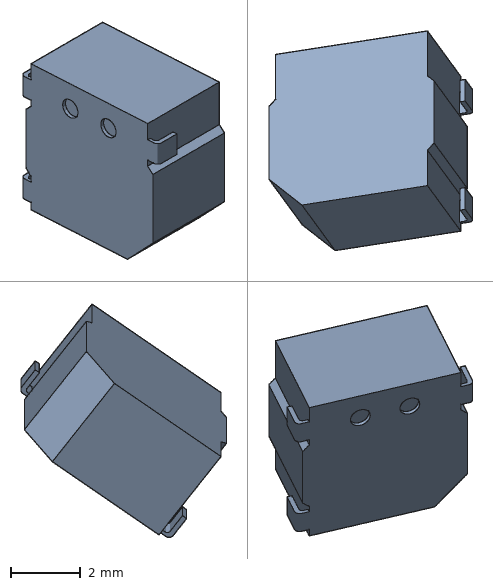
import cadquery as cq
import math

HOUSING_SIZE = 5.0
DEPTH = 3.0
HALF = HOUSING_SIZE / 2
MOUNT_Y = -DEPTH / 2
STEP = 0.2
SHOULDER_TOP = 0.85
SHOULDER_BOTTOM = -1.155
CORNER_CHAMFER = 1.0

INSERT_RADIUS = 1.9
INSERT_TOP = 0.9
INSERT_DEPTH = 0.1
NOTCH_X = -0.855
NOTCH_Z = -1.2
NOTCH_CHAMFER = 0.2

HOLE_DIAMETER = 0.6
HOLE_SPACING = 1.5
HOLE_Z = 1.65
HOLE_DEPTH = 0.12

TERMINAL_SPAN = 5.4
TERMINAL_WIDTH = 0.7
TERMINAL_INNER_X = 1.8
TERMINAL_HEIGHT = 0.8
LEG_THICKNESS = 0.15
FOOT_THICKNESS = 0.1
OUTER_BEND_RADIUS = 0.15
INNER_BEND_RADIUS = 0.1
UPPER_TERMINAL_Z = 1.6
LOWER_TERMINAL_Z = -1.9


def mount_plane():
    """Plane on the mounting face; negative extrusions go into the housing."""
    return cq.Workplane("XZ", origin=(0, MOUNT_Y, 0))


def make_housing():
    neck = HALF - STEP
    outline = [
        (-neck, HALF),
        (neck, HALF),
        (neck, SHOULDER_TOP + STEP),
        (HALF, SHOULDER_TOP),
        (HALF, CORNER_CHAMFER - HALF),
        (HALF - CORNER_CHAMFER, -HALF),
        (-neck, -HALF),
        (-neck, SHOULDER_BOTTOM - STEP),
        (-HALF, SHOULDER_BOTTOM),
        (-HALF, SHOULDER_TOP),
        (-neck, SHOULDER_TOP + STEP),
    ]
    return mount_plane().polyline(outline).close().extrude(-DEPTH)


def make_insert():
    """Disc with a flat top and a notch in its lower -X edge."""
    top_x = math.sqrt(INSERT_RADIUS**2 - INSERT_TOP**2)
    notch_left = -math.sqrt(INSERT_RADIUS**2 - NOTCH_Z**2)
    notch_bottom = -math.sqrt(INSERT_RADIUS**2 - NOTCH_X**2)
    return (
        mount_plane()
        .moveTo(-top_x, INSERT_TOP)
        .lineTo(top_x, INSERT_TOP)
        .threePointArc((0, -INSERT_RADIUS), (NOTCH_X, notch_bottom))
        .lineTo(NOTCH_X, NOTCH_Z - NOTCH_CHAMFER)
        .lineTo(NOTCH_X - NOTCH_CHAMFER, NOTCH_Z)
        .lineTo(notch_left, NOTCH_Z)
        .threePointArc((-INSERT_RADIUS, 0), (-top_x, INSERT_TOP))
        .close()
        .extrude(-INSERT_DEPTH)
    )


def make_holes():
    return (
        mount_plane()
        .pushPoints([(-HOLE_SPACING / 2, HOLE_Z), (HOLE_SPACING / 2, HOLE_Z)])
        .circle(HOLE_DIAMETER / 2)
        .extrude(-HOLE_DEPTH)
    )


def make_terminal(side, center_z):
    """L-shaped terminal; side is -1 for the -X side and 1 for the +X side."""
    outer_x = side * TERMINAL_SPAN / 2
    leg_inner_x = outer_x - side * LEG_THICKNESS
    foot_top_y = MOUNT_Y + FOOT_THICKNESS
    tip_y = MOUNT_Y + TERMINAL_HEIGHT
    return (
        cq.Workplane("XY", origin=(0, 0, center_z - TERMINAL_WIDTH / 2))
        .moveTo(side * TERMINAL_INNER_X, MOUNT_Y)
        .lineTo(outer_x - side * OUTER_BEND_RADIUS, MOUNT_Y)
        .tangentArcPoint((outer_x, MOUNT_Y + OUTER_BEND_RADIUS), relative=False)
        .lineTo(outer_x, tip_y)
        .lineTo(leg_inner_x, tip_y)
        .lineTo(leg_inner_x, foot_top_y + INNER_BEND_RADIUS)
        .tangentArcPoint((leg_inner_x - side * INNER_BEND_RADIUS, foot_top_y), relative=False)
        .lineTo(side * TERMINAL_INNER_X, foot_top_y)
        .close()
        .extrude(TERMINAL_WIDTH)
    )


inset_parts = [
    make_insert(),
    make_terminal(-1, UPPER_TERMINAL_Z),
    make_terminal(-1, LOWER_TERMINAL_Z),
    make_terminal(1, UPPER_TERMINAL_Z),
]
result = make_housing().cut(make_holes())
for part in inset_parts:
    result = result.cut(part, clean=False).union(part, clean=False)